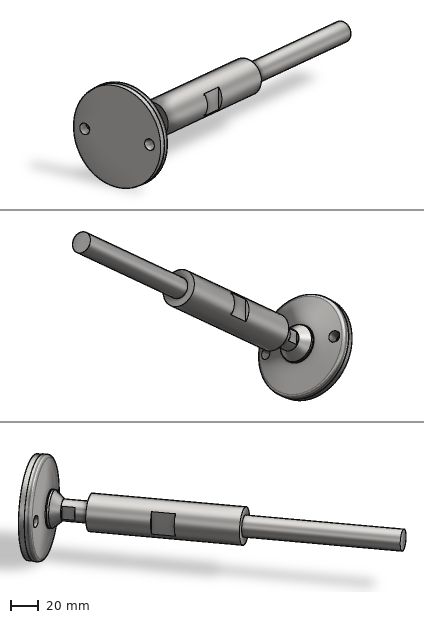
import cadquery as cq
import math

total_length = 277.0
foot_diameter = 78.0
stem_diameter = 16.0
sleeve_diameter = 28.0

base_step = 0.3
base_top = 4.5
rim_band_top = 7.0
rim_radius = 38.8
rim_top = 9.5
rim_fillet = 2.5
shoulder_radius = 14.5
shoulder_bottom = 13.3
shoulder_top = 14.0
collar_radius = sleeve_diameter / 2
collar_top = 15.8
cone_top = 23.0

hole_diameter = 8.5
hole_offset = 28.8
hole_reach = 27.7
slope_angle = math.degrees(math.atan2(shoulder_bottom - rim_top, rim_radius - shoulder_radius))

sleeve_start = 43.5
sleeve_length = 115.0
sleeve_flat_length = 17.7
sleeve_flat_start = 92.0
sleeve_across_flats = 22.2

stem_flat_start = 23.8
stem_flat_end = 33.5
stem_across_flats = 12.7


def rod(diameter, start, length):
    """Cylinder along +Y from the given start."""
    return cq.Workplane("XZ", origin=(0, start, 0)).circle(diameter / 2).extrude(-length)


def cut_wrench_flats(body, diameter, across_flats, start, end):
    """Cut a pair of flats facing -X and +X."""
    depth = diameter - across_flats
    for side in (-1, 1):
        cutter = cq.Workplane("XY").box(depth, end - start, 2 * diameter)
        body = body.cut(cutter.translate((side * diameter / 2, (start + end) / 2, 0)))
    return body


def make_foot():
    """Round foot plate with its cone, the stem and two slanted mounting holes."""
    foot_radius = foot_diameter / 2
    foot = (
        cq.Workplane("XY")
        .lineTo(foot_radius - base_step, 0)
        .lineTo(foot_radius - base_step, base_top)
        .lineTo(foot_radius, base_top)
        .lineTo(foot_radius, rim_band_top)
        .lineTo(rim_radius, rim_top)
        .lineTo(shoulder_radius, shoulder_bottom)
        .lineTo(shoulder_radius, shoulder_top)
        .lineTo(collar_radius, shoulder_top)
        .lineTo(collar_radius, collar_top)
        .lineTo(stem_diameter / 2, cone_top)
        .lineTo(0, cone_top)
        .close()
        .revolve(360, (0, 0, 0), (0, 1, 0))
    )
    foot = foot.edges("%CIRCLE").edges(">>Y[3]").fillet(rim_fillet)
    stem = rod(stem_diameter, cone_top, total_length - cone_top)
    stem = cut_wrench_flats(stem, stem_diameter, stem_across_flats, stem_flat_start, stem_flat_end)
    for side in (-1, 1):
        hole = rod(hole_diameter, -hole_reach / 2, hole_reach)
        hole = hole.rotate((0, 0, 0), (0, 0, 1), -side * slope_angle)
        foot = foot.cut(hole.translate((side * hole_offset, 0, 0)))
    return foot.union(stem)


def make_sleeve():
    """Adjusting sleeve bored to fit the stem, with a pair of wrench flats."""
    sleeve = rod(sleeve_diameter, sleeve_start, sleeve_length)
    sleeve = sleeve.cut(rod(stem_diameter, sleeve_start, sleeve_length))
    flat_end = sleeve_flat_start + sleeve_flat_length
    return cut_wrench_flats(sleeve, sleeve_diameter, sleeve_across_flats, sleeve_flat_start, flat_end)


foot = make_foot()
sleeve = make_sleeve()
result = cq.Compound.makeCompound([foot.val(), sleeve.val()])